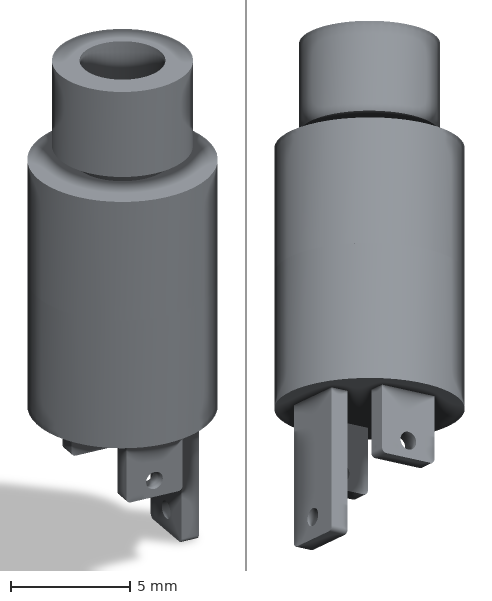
import cadquery as cq

total_height = 22.55
long_terminal_length = 6.34
short_terminal_length = 3.0
base_height = 6.0
barrel_height = 5.57
collar_height = 4.0

body_diameter = 8.0
collar_diameter = 5.93
neck_diameter = 4.1
bore_diameter = 3.6

terminal_thickness = 0.81
terminal_offset = 2.48
long_terminal_width = 2.8
short_terminal_width = 2.65
terminal_corner_radius = 0.2
eyelet_diameter = 0.8
long_eyelet_height = 0.97
short_eyelet_height = 0.77

base_bottom = long_terminal_length
seam_height = base_bottom + base_height
shoulder_height = seam_height + barrel_height
collar_bottom = total_height - collar_height


def cylinder(diameter, bottom, top):
    """Solid cylinder on the part axis between two heights."""
    return cq.Workplane("XY").workplane(offset=bottom).circle(diameter / 2).extrude(top - bottom)


def make_base():
    """Plain lower housing that closes the bottom of the bore."""
    return cylinder(body_diameter, base_bottom, seam_height)


def make_barrel():
    """Upper housing with a slim neck, bored through from end to end."""
    barrel = cylinder(body_diameter, seam_height, shoulder_height)
    neck = cylinder(neck_diameter, shoulder_height, total_height)
    bore = cylinder(bore_diameter, seam_height, total_height)
    return barrel.union(neck).cut(bore)


def make_collar():
    """Ring around the neck, flush with its top and clear of the shoulder."""
    ring = cylinder(collar_diameter, collar_bottom, total_height)
    return ring.cut(cylinder(neck_diameter, collar_bottom, total_height))


def make_terminal(width, length, eyelet_height, angle):
    """Flat tab below the base, facing outward at an angle from +X about the axis."""
    tip = base_bottom - length
    tab = (
        cq.Workplane("XY")
        .box(terminal_thickness, width, length, centered=(True, True, False))
        .edges("|X and <Z")
        .fillet(terminal_corner_radius)
    )
    eyelet = (
        cq.Workplane("YZ")
        .center(0, eyelet_height)
        .circle(eyelet_diameter / 2)
        .extrude(terminal_thickness / 2, both=True)
    )
    placed = tab.cut(eyelet).translate((terminal_offset, 0, tip))
    return placed.rotate((0, 0, 0), (0, 0, 1), angle)


base = make_base()
barrel = make_barrel()
collar = make_collar()

long_terminal = make_terminal(long_terminal_width, long_terminal_length, long_eyelet_height, 90)
short_terminals = [
    make_terminal(short_terminal_width, short_terminal_length, short_eyelet_height, angle)
    for angle in (0, 180)
]

result = cq.Compound.makeCompound([
    base.val(),
    barrel.val(),
    collar.val(),
    long_terminal.val(),
    *[terminal.val() for terminal in short_terminals],
])